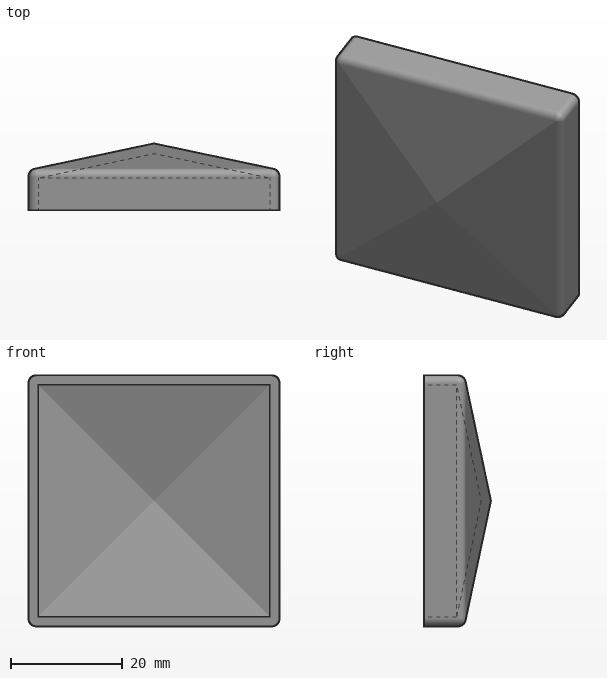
import cadquery as cq
import math

side = 45.0
height = 12.0
wall = 1.75
edge_radius = 1.5
roof_angle = math.radians(12)

cavity_side = side - 2 * wall
cavity_height = height - wall / math.cos(roof_angle)


def gable(width, apex):
    """House-shaped solid along Z: open end on Y = 0, ridge at Y = apex."""
    half = width / 2
    eave = apex - half * math.tan(roof_angle)
    profile = [(-half, 0), (half, 0), (half, eave), (0, apex), (-half, eave)]
    return cq.Workplane("XY").polyline(profile).close().extrude(half, both=True)


def pyramid_block(width, apex):
    """Square block with a four-sided pyramid roof, made from two crossed gables."""
    ridge_along_z = gable(width, apex)
    ridge_along_x = ridge_along_z.rotate((0, 0, 0), (0, 1, 0), 90)
    return ridge_along_z.intersect(ridge_along_x)


body = pyramid_block(side, height)
body = body.edges("|Y or ((|X or |Z) and (not <Y))").fillet(edge_radius)

result = body.cut(pyramid_block(cavity_side, cavity_height))